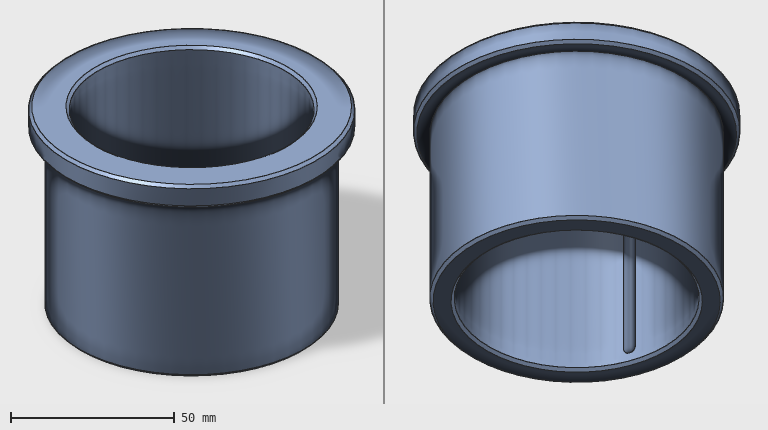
import cadquery as cq

flange_diameter = 100.0
body_diameter = 90.0
bore_diameter = 75.0
height = 70.0
flange_thickness = 8.0
chamfer = 1.0

groove_radius = 2.0
groove_end_margin = 4.0
rounding_gap = 0.01


def chamfered_cylinder(diameter, bottom, length):
    """Upright cylinder with both rims chamfered."""
    cylinder = cq.Workplane("XY").workplane(offset=bottom).circle(diameter / 2).extrude(length)
    return cylinder.faces("<Z or >Z").chamfer(chamfer)


def bore_cutter():
    """Through bore that flares by the chamfer at both ends."""
    radius = bore_diameter / 2
    half_profile = [
        (0, 0),
        (radius + chamfer, 0),
        (radius, chamfer),
        (radius, height - chamfer),
        (radius + chamfer, height),
        (0, height),
    ]
    return cq.Workplane("XZ").polyline(half_profile).close().revolve(360, (0, 0), (0, 1))


def groove_cutter():
    """Axial ball-ended rod centred on the bore wall, closed off short of both ends."""
    return (
        cq.Workplane("XY")
        .workplane(offset=groove_end_margin)
        .center(bore_diameter / 2, 0)
        .circle(groove_radius)
        .extrude(height - 2 * groove_end_margin)
        .edges()
        .fillet(groove_radius - rounding_gap)
    )


body = chamfered_cylinder(body_diameter, 0, height)
flange = chamfered_cylinder(flange_diameter, height - flange_thickness, flange_thickness)

result = body.union(flange).cut(bore_cutter()).cut(groove_cutter())